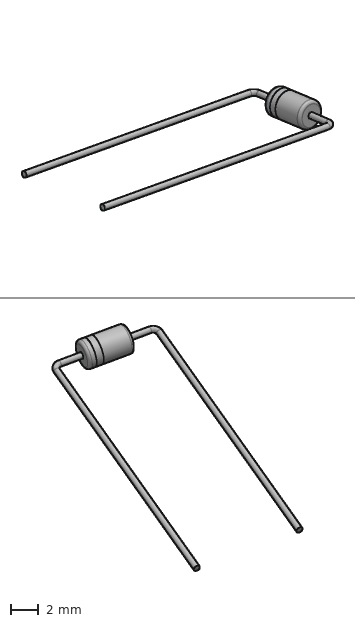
import cadquery as cq
import math

body_length = 3.73
body_diameter = 2.29
end_fillet = 0.25

band_offset = 0.625
band_width = 0.575

overall_width = 8.8
lead_diameter = 0.51
bend_angle = 90
bend_radius = 0.5
lead_drop = 22.5

body_radius = body_diameter / 2
body_end = body_length / 2
band_start = -body_end + band_offset
band_end = band_start + band_width
lead_x = (overall_width - lead_diameter) / 2


def cylinder_along_x(start, end):
    """Full-diameter slice of the diode body between two X positions."""
    return cq.Workplane("YZ", origin=(start, 0, 0)).circle(body_radius).extrude(end - start)


def lead(side):
    """Bent wire from one end face of the body; side is -1 for -X, +1 for +X."""
    bend_start_x = lead_x - bend_radius
    half_bend = math.radians(bend_angle / 2)
    bend_mid_x = bend_start_x + bend_radius * math.sin(half_bend)
    bend_mid_y = -bend_radius * (1 - math.cos(half_bend))
    path = (
        cq.Workplane("XY")
        .moveTo(side * body_end, 0)
        .lineTo(side * bend_start_x, 0)
        .threePointArc((side * bend_mid_x, bend_mid_y), (side * lead_x, -bend_radius))
        .lineTo(side * lead_x, -lead_drop)
    )
    profile = cq.Workplane("YZ", origin=(side * body_end, 0, 0)).circle(lead_diameter / 2)
    return profile.sweep(path)


end_cap = cylinder_along_x(-body_end, band_start).faces("<X").edges().fillet(end_fillet)
cathode_band = cylinder_along_x(band_start, band_end)
main_body = cylinder_along_x(band_end, body_end).faces(">X").edges().fillet(end_fillet)

leads = [lead(side) for side in (-1, 1)]

result = cq.Compound.makeCompound(
    [end_cap.val(), cathode_band.val(), main_body.val(), *[wire.val() for wire in leads]]
)